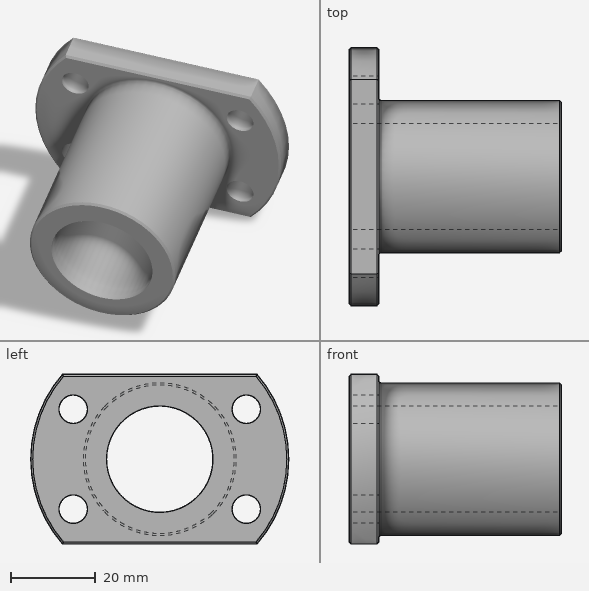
import cadquery as cq
import math

total_length = 50.0
flange_diameter = 60.8
flange_height = 40.0
flange_thickness = 7.0
barrel_diameter = 36.0
bore_diameter = 25.0

hole_diameter = 6.6
hole_circle_radius = 23.55
hole_angle = 30.0

edge_chamfer = 0.5
root_fillet = 0.5


def make_flange():
    """Disc with two parallel flats and chamfered face edges."""
    disc = cq.Workplane("YZ").circle(flange_diameter / 2).extrude(flange_thickness)
    flats = cq.Workplane("YZ").rect(flange_diameter, flange_height).extrude(flange_thickness)
    return disc.intersect(flats).faces("<X or >X").edges().chamfer(edge_chamfer)


def make_barrel():
    """Cylinder along X with a chamfered free end."""
    barrel = cq.Workplane("YZ").circle(barrel_diameter / 2).extrude(total_length)
    return barrel.faces(">X").edges().chamfer(edge_chamfer)


def fillet_root(body):
    """Round the inner corner where the barrel meets the flange."""
    reach = barrel_diameter / 2 + root_fillet
    root_edge = cq.selectors.BoxSelector(
        (flange_thickness - root_fillet, -reach, -reach),
        (flange_thickness + root_fillet, reach, reach),
        boundingbox=True,
    )
    return body.edges(root_edge).edges("%CIRCLE").fillet(root_fillet)


def make_through_holes():
    """Cutters for the central bore and the four mounting holes."""
    hole_y = hole_circle_radius * math.cos(math.radians(hole_angle))
    hole_z = hole_circle_radius * math.sin(math.radians(hole_angle))
    bore = cq.Workplane("YZ").circle(bore_diameter / 2).extrude(total_length)
    mounting_holes = (
        cq.Workplane("YZ")
        .rect(2 * hole_y, 2 * hole_z, forConstruction=True)
        .vertices()
        .circle(hole_diameter / 2)
        .extrude(flange_thickness)
    )
    return bore.union(mounting_holes)


body = fillet_root(make_flange().union(make_barrel()))
result = body.cut(make_through_holes())